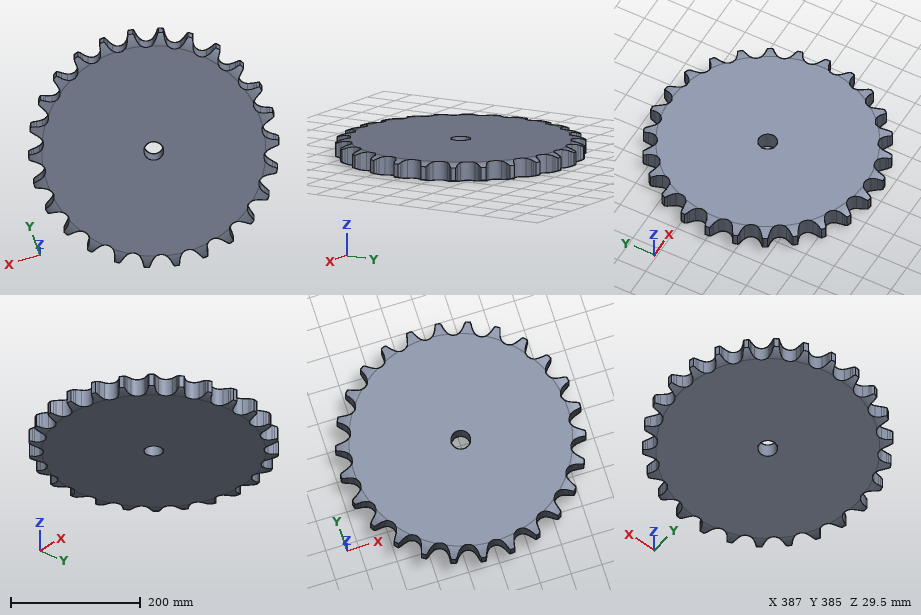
import cadquery as cq
import math

tooth_count = 26
outer_radius = 193.5
thickness = 29.5
bore_diameter = 30.0
chain_pitch = 44.5
roller_diameter = 28.0

relief_start_radius = 173.0
tip_thickness = 20.0

pitch_angle = 360 / tooth_count
pitch_radius = chain_pitch / (2 * math.sin(math.radians(pitch_angle / 2)))

seat_radius = 0.5025 * roller_diameter
concave_radius = 1.3025 * roller_diameter
seat_end_angle = 35 + 60 / tooth_count
concave_sweep = 18 - 56 / tooth_count
topping_angle = math.radians(17 - 64 / tooth_count)
sweep_angle = math.radians(concave_sweep)
straight_length = roller_diameter * (1.4 * math.sin(topping_angle) - 0.8 * math.sin(sweep_angle))
topping_radius = roller_diameter * (
    0.8 * math.cos(sweep_angle) + 1.4 * math.cos(topping_angle) - 1.3025
)
topping_sweep = 20.0
gap_clearance = 7.7


def on_circle(center, radius, angle):
    """Point at the given angle in degrees, measured from +X."""
    turn = math.radians(angle)
    return (center[0] + radius * math.cos(turn), center[1] + radius * math.sin(turn))


def mirrored(point):
    return (point[0], -point[1])


def make_blank():
    """Disc with its rim rounded off on both faces, tangent to the flat faces."""
    half = thickness / 2
    half_tip = tip_thickness / 2
    relief_length = outer_radius - relief_start_radius
    relief_drop = half - half_tip
    relief_radius = (relief_length**2 + relief_drop**2) / (2 * relief_drop)
    relief_sweep = math.degrees(math.asin(relief_length / relief_radius))
    relief_center = (relief_start_radius, half - relief_radius)
    relief_middle = on_circle(relief_center, relief_radius, 90 - relief_sweep / 2)
    bore_radius = bore_diameter / 2
    return (
        cq.Workplane("XZ")
        .moveTo(bore_radius, -half)
        .lineTo(bore_radius, half)
        .lineTo(relief_start_radius, half)
        .threePointArc(relief_middle, (outer_radius, half_tip))
        .lineTo(outer_radius, -half_tip)
        .threePointArc(mirrored(relief_middle), (relief_start_radius, -half))
        .close()
        .revolve(360, (0, 0), (0, 1))
    )


def make_gap():
    """Cutter for one tooth gap, centred on +X and symmetric about the X axis."""
    seat_center = (pitch_radius, 0)
    seat_bottom = (pitch_radius - seat_radius, 0)

    seat_end_direction = 90 + seat_end_angle
    flank_direction = seat_end_direction - concave_sweep
    seat_end = on_circle(seat_center, seat_radius, seat_end_direction)

    concave_center = on_circle(seat_end, -concave_radius, seat_end_direction)
    concave_middle = on_circle(concave_center, concave_radius, seat_end_direction - concave_sweep / 2)
    concave_end = on_circle(concave_center, concave_radius, flank_direction)

    straight_end = on_circle(concave_end, straight_length, flank_direction - 90)

    topping_center = on_circle(straight_end, topping_radius, flank_direction)
    topping_start = flank_direction + 180
    topping_middle = on_circle(topping_center, topping_radius, topping_start + topping_sweep / 2)
    topping_end = on_circle(topping_center, topping_radius, topping_start + topping_sweep)
    outer_corner = (outer_radius + gap_clearance, topping_end[1])

    return (
        cq.Workplane("XY")
        .moveTo(*seat_end)
        .threePointArc(concave_middle, concave_end)
        .lineTo(*straight_end)
        .threePointArc(topping_middle, topping_end)
        .lineTo(*outer_corner)
        .lineTo(*mirrored(outer_corner))
        .lineTo(*mirrored(topping_end))
        .threePointArc(mirrored(topping_middle), mirrored(straight_end))
        .lineTo(*mirrored(concave_end))
        .threePointArc(mirrored(concave_middle), mirrored(seat_end))
        .threePointArc(seat_bottom, seat_end)
        .close()
        .extrude(thickness, both=True)
    )


result = make_blank()
gap = make_gap()
for tooth in range(tooth_count):
    gap_angle = (tooth + 0.5) * pitch_angle
    result = result.cut(gap.rotate((0, 0, 0), (0, 0, 1), gap_angle))